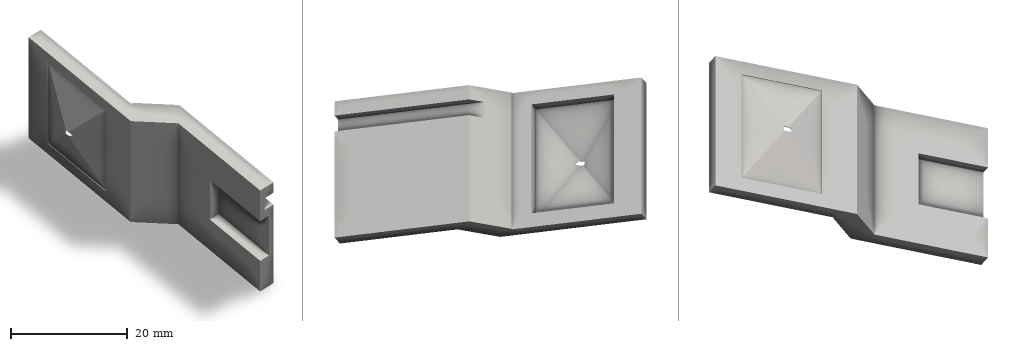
import cadquery as cq

LENGTH = 53.6
WIDTH = 25.0
DEPTH = 10.95

TIP_HEIGHT = 2.15
FRONT_ARM_THICKNESS = 2.8
BACK_ARM_THICKNESS = 3.0
FRONT_ARM_END = 26.55
BACK_BEND_START = 23.4
BACK_STEP = 0.25
front_face = TIP_HEIGHT
front_arm_rear = front_face + FRONT_ARM_THICKNESS
rear_slope_start = front_arm_rear + BACK_STEP
back_arm_front = DEPTH - BACK_ARM_THICKNESS

BASE_LENGTH = 15.0
BASE_WIDTH = 20.0
BASE_INSET = 0.15
APEX_HEIGHT = 2.4
WALL = 0.15
PYRAMID_X = 12.45
pyramid_base = front_face + BASE_INSET
mid_z = WIDTH / 2

OPENING_LEFT = 0.5
OPENING_SHOULDER = 0.55
OPENING_POINT = 1.25
OPENING_HALF_WIDTH = 0.4

RECESS_DEPTH = 2.0
POCKET_LENGTH = 13.1
POCKET_WIDTH = 9.85
GROOVE_WIDTH = 2.9
GROOVE_FROM_TOP = 2.6


def block(x_range, y_range, z_range):
    """Box between pairs of limits on each axis."""
    limits = (x_range, y_range, z_range)
    size = [high - low for low, high in limits]
    corner = tuple(low for low, high in limits)
    return cq.Workplane("XY").box(*size, centered=False).translate(corner)


def cranked_plate():
    """Two parallel arms joined by a 45 degree bend."""
    outline = [
        (0, front_face),
        (FRONT_ARM_END, front_face),
        (FRONT_ARM_END + back_arm_front - front_face, back_arm_front),
        (LENGTH, back_arm_front),
        (LENGTH, DEPTH),
        (BACK_BEND_START + DEPTH - rear_slope_start, DEPTH),
        (BACK_BEND_START, rear_slope_start),
        (BACK_BEND_START, front_arm_rear),
        (0, front_arm_rear),
    ]
    return cq.Workplane("XY").polyline(outline).close().extrude(WIDTH)


def window(y_range):
    """Rectangular prism with the pyramid's footprint."""
    return block(
        (PYRAMID_X - BASE_LENGTH / 2, PYRAMID_X + BASE_LENGTH / 2),
        y_range,
        (mid_z - BASE_WIDTH / 2, mid_z + BASE_WIDTH / 2),
    )


def pyramid(base_y):
    """Solid pyramid on the window rectangle, pointing toward -Y."""
    half_x = BASE_LENGTH / 2
    half_z = BASE_WIDTH / 2
    corners = [
        cq.Vector(PYRAMID_X + side_x * half_x, base_y, mid_z + side_z * half_z)
        for side_x, side_z in ((-1, -1), (1, -1), (1, 1), (-1, 1))
    ]
    apex = cq.Vector(PYRAMID_X, base_y - APEX_HEIGHT, mid_z)
    base = cq.Face.makeFromWires(cq.Wire.makePolygon(corners, close=True))
    faces = [base]
    for i, corner in enumerate(corners):
        edge_end = corners[(i + 1) % len(corners)]
        side = cq.Wire.makePolygon([corner, edge_end, apex], close=True)
        faces.append(cq.Face.makeFromWires(side))
    return cq.Workplane(cq.Solid.makeSolid(cq.Shell.makeShell(faces)))


def pyramid_cavity():
    """Window open at the rear, ending in a pyramid parallel to the outer one."""
    inner_base = pyramid_base + WALL
    return window((inner_base, front_arm_rear)).union(pyramid(inner_base))


def tip_opening():
    """Rectangular hole with a pointed +X end, cut through the pyramid tip."""
    outline = [
        (PYRAMID_X - OPENING_LEFT, mid_z - OPENING_HALF_WIDTH),
        (PYRAMID_X + OPENING_SHOULDER, mid_z - OPENING_HALF_WIDTH),
        (PYRAMID_X + OPENING_POINT, mid_z),
        (PYRAMID_X + OPENING_SHOULDER, mid_z + OPENING_HALF_WIDTH),
        (PYRAMID_X - OPENING_LEFT, mid_z + OPENING_HALF_WIDTH),
    ]
    return cq.Workplane("XZ").polyline(outline).close().extrude(front_arm_rear, both=True)


def front_pocket():
    """Pocket in the front of the back arm, open at its end."""
    return block(
        (LENGTH - POCKET_LENGTH, LENGTH),
        (back_arm_front, back_arm_front + RECESS_DEPTH),
        (mid_z - POCKET_WIDTH / 2, mid_z + POCKET_WIDTH / 2),
    )


def rear_groove():
    """Groove along the whole rear of the back arm."""
    groove_top = WIDTH - GROOVE_FROM_TOP
    return block(
        (0, LENGTH),
        (DEPTH - RECESS_DEPTH, DEPTH),
        (groove_top - GROOVE_WIDTH, groove_top),
    )


result = (
    cranked_plate()
    .cut(window((0, pyramid_base)))
    .union(pyramid(pyramid_base))
    .cut(pyramid_cavity())
    .cut(tip_opening())
    .cut(front_pocket())
    .cut(rear_groove())
)